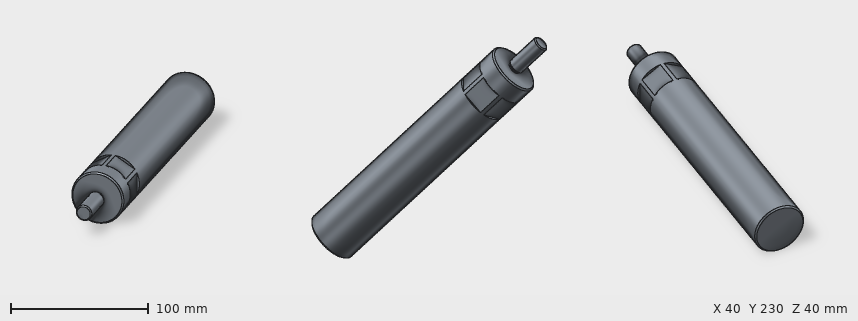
import cadquery as cq

total_length = 230.0
stud_length = 30.0
body_diameter = 40.0
body_chamfer = 1.2

across_flats = 36.0
flats_length = 20.0
collar_length = 15.0
flat_count = 6

stud_diameter = 12.0
stud_tip_diameter = 10.1
neck_diameter = 9.5
neck_length = 1.2

body_radius = body_diameter / 2
stud_radius = stud_diameter / 2
tip_radius = stud_tip_diameter / 2
neck_radius = neck_diameter / 2
tip_chamfer = stud_radius - tip_radius
neck_end = stud_length - neck_length
neck_taper_start = neck_end - (stud_radius - neck_radius)


def make_turned_body():
    """Body and stud, revolved around Y from the stud tip at Y = 0."""
    half_profile = [
        (0, 0),
        (tip_radius, 0),
        (stud_radius, tip_chamfer),
        (stud_radius, neck_taper_start),
        (neck_radius, neck_end),
        (neck_radius, stud_length),
        (body_radius - body_chamfer, stud_length),
        (body_radius, stud_length + body_chamfer),
        (body_radius, total_length - body_chamfer),
        (body_radius - body_chamfer, total_length),
        (0, total_length),
    ]
    return cq.Workplane("XY").polyline(half_profile).close().revolve(360, (0, 0, 0), (0, 1, 0))


def make_flat_cutter(angle):
    """Block that removes the material outside one wrench flat."""
    flats_start = stud_length + collar_length
    block = cq.Workplane("XY").box(
        body_radius, flats_length, body_diameter, centered=(False, False, True)
    )
    placed = block.translate((across_flats / 2, flats_start, 0))
    return placed.rotate((0, 0, 0), (0, 1, 0), angle)


result = make_turned_body()
for index in range(flat_count):
    result = result.cut(make_flat_cutter(index * 360 / flat_count))